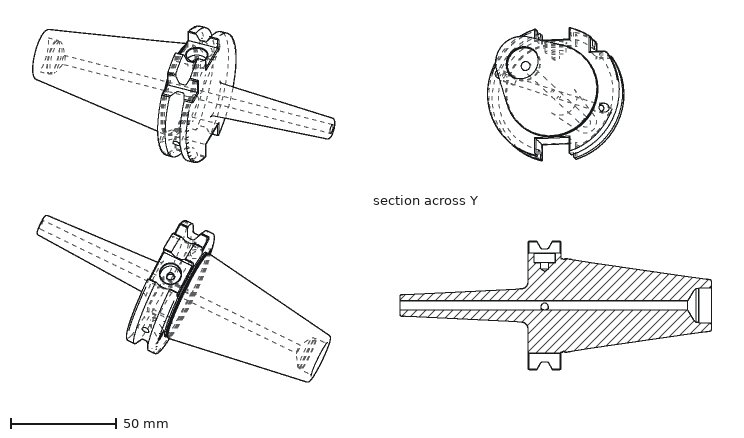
import cadquery as cq
import math


drill_half_angle = math.radians(59)
eighth_turn = math.radians(45)

gauge_radius = 44.45 / 2
taper_length = 68.4
taper_slope = 7 / 48
shank_end_radius = gauge_radius - taper_length * taper_slope
shank_end_round = 1.2

neck_start = 0.5
neck_groove_start = 1.4
neck_groove_end = 2.5
neck_groove_depth = 0.35

flange_start = 3.2
flange_end = 19.1
flange_radius = 63.55 / 2
flange_round = 1.0
vee_centre = 11.1
vee_opening = 7.5
vee_depth = 3.65
vee_half_angle = math.radians(30)
vee_floor_round = 1.0

slot_width = 16.1
upper_slot_height = 25.0
lower_slot_height = 22.8
notch_offset = 18.5
slot_chamfer = 0.5

chip_diameter = 10.0
chip_chamfer = 0.3
chip_depth = 4.6
chip_pilot_diameter = 3.6
chip_pilot_depth = 3.0

nose_end = 80.0
nose_tip_radius = 5.15
nose_root_radius = 8.0
nose_root_fillet = 3.0
nose_tip_round = 1.0

rear_bore_radius = 8.3
rear_bore_depth = 6.0
mouth_round = 1.1
step_radius = 8.0
step_length = 1.2
cone_mouth_radius = 7.1
through_radius = 2.15

coolant_diameter = 4.2
coolant_pitch_radius = 26.9
coolant_angle = 20.0
coolant_slant = math.radians(34)
coolant_cross_diameter = 3.5


def revolve_about_axis(profile):
    """Revolve a closed (X, radius) wire around the X axis."""
    return profile.close().revolve(360, (0, 0, 0), (1, 0, 0))


def make_shank():
    neck_radius = gauge_radius + neck_start * taper_slope
    profile = (
        cq.Workplane("XY")
        .moveTo(-taper_length, 0)
        .lineTo(-taper_length, shank_end_radius)
        .lineTo(neck_start, neck_radius)
        .lineTo(neck_groove_start, neck_radius)
        .lineTo(neck_groove_start + neck_groove_depth, neck_radius - neck_groove_depth)
        .lineTo(neck_groove_end - neck_groove_depth, neck_radius - neck_groove_depth)
        .lineTo(neck_groove_end, neck_radius)
        .lineTo(flange_start, neck_radius)
        .lineTo(flange_start, 0)
    )
    return revolve_about_axis(profile).faces("<X").edges().fillet(shank_end_round)


def make_vee_ring():
    """Ring of material removed by the 60 degree gripper groove."""
    floor_radius = flange_radius - vee_depth
    half_floor = vee_opening / 2 - vee_depth * math.tan(vee_half_angle)
    overshoot = 1.0
    half_top = vee_opening / 2 + overshoot * math.tan(vee_half_angle)
    top_radius = flange_radius + overshoot
    profile = (
        cq.Workplane("XY")
        .moveTo(vee_centre - half_top, top_radius)
        .lineTo(vee_centre - half_floor, floor_radius)
        .lineTo(vee_centre + half_floor, floor_radius)
        .lineTo(vee_centre + half_top, top_radius)
    )
    ring = revolve_about_axis(profile)
    margin = 0.1
    reach_x = half_floor + margin
    reach_yz = floor_radius + margin
    floor_edges = cq.selectors.BoxSelector(
        (vee_centre - reach_x, -reach_yz, -reach_yz),
        (vee_centre + reach_x, reach_yz, reach_yz),
        boundingbox=True,
    )
    return ring.edges(floor_edges).fillet(vee_floor_round)


def make_flange():
    width = flange_end - flange_start
    disc = cq.Workplane("YZ", origin=(flange_start, 0, 0)).circle(flange_radius).extrude(width)
    disc = disc.edges().fillet(flange_round)
    return disc.cut(make_vee_ring())


def flange_block(y_min, y_max, z_min, z_max):
    """Cutter for a slot: a box as wide as the flange, flared at both flange faces."""
    width = flange_end - flange_start
    block = (
        cq.Workplane("XY")
        .box(width, y_max - y_min, z_max - z_min, centered=False)
        .translate((flange_start, y_min, z_min))
    )
    flare_size = (y_max - y_min + 2 * slot_chamfer, z_max - z_min + 2 * slot_chamfer)
    middle = ((y_min + y_max) / 2, (z_min + z_max) / 2)
    for face_x, inward in ((flange_start, 1), (flange_end, -1)):
        flare = (
            cq.Workplane("YZ", origin=(face_x, *middle))
            .rect(*flare_size)
            .workplane(offset=inward * slot_chamfer)
            .rect(y_max - y_min, z_max - z_min)
            .loft(ruled=True)
        )
        block = block.union(flare)
    return block


def rim_bevel(y, z):
    """Square bar along X, set on its corner, that bevels the rim edge at (y, z)."""
    side = slot_chamfer * math.sqrt(2)
    bar = cq.Workplane("XY").box(flange_end - flange_start, side, side)
    bar = bar.rotate((0, 0, 0), (1, 0, 0), math.degrees(eighth_turn))
    return bar.translate(((flange_start + flange_end) / 2, y, z))


def cut_slots(flange):
    half = slot_width / 2
    outside = flange_radius + slot_chamfer
    flange = flange.cut(flange_block(-half, half, upper_slot_height, outside))
    flange = flange.cut(flange_block(-half, half, -outside, -lower_slot_height))
    flange = flange.cut(flange_block(-outside, -notch_offset, notch_offset, outside))

    slot_rim = math.sqrt(flange_radius**2 - half**2)
    notch_rim = math.sqrt(flange_radius**2 - notch_offset**2)
    rim_edges = [(y, z) for y in (-half, half) for z in (-slot_rim, slot_rim)]
    rim_edges += [(-notch_offset, notch_rim), (-notch_rim, notch_offset)]
    for y, z in rim_edges:
        flange = flange.cut(rim_bevel(y, z))
    return flange


def make_nose():
    root_end = flange_end + nose_root_fillet
    arc_mid = (
        root_end - nose_root_fillet * math.sin(eighth_turn),
        nose_root_radius + nose_root_fillet * (1 - math.cos(eighth_turn)),
    )
    profile = (
        cq.Workplane("XY")
        .moveTo(flange_end, 0)
        .lineTo(flange_end, nose_root_radius + nose_root_fillet)
        .threePointArc(arc_mid, (root_end, nose_root_radius))
        .lineTo(nose_end, nose_tip_radius)
        .lineTo(nose_end, 0)
    )
    return revolve_about_axis(profile).faces(">X").edges().fillet(nose_tip_round)


def make_bore():
    """Stepped rear bore with a rounded mouth and a drilled cone, continued by the through hole."""
    mouth = -taper_length
    round_mid = (
        mouth + mouth_round * (1 - math.sin(eighth_turn)),
        rear_bore_radius + mouth_round * (1 - math.cos(eighth_turn)),
    )
    step_start = mouth + rear_bore_depth + rear_bore_radius - step_radius
    step_end = step_start + step_length
    cone_start = step_end + step_radius - cone_mouth_radius
    cone_length = (cone_mouth_radius - through_radius) / math.tan(drill_half_angle)
    profile = (
        cq.Workplane("XY")
        .moveTo(mouth, 0)
        .lineTo(mouth, rear_bore_radius + mouth_round)
        .threePointArc(round_mid, (mouth + mouth_round, rear_bore_radius))
        .lineTo(mouth + rear_bore_depth, rear_bore_radius)
        .lineTo(step_start, step_radius)
        .lineTo(step_end, step_radius)
        .lineTo(cone_start, cone_mouth_radius)
        .lineTo(cone_start + cone_length, through_radius)
        .lineTo(nose_end, through_radius)
        .lineTo(nose_end, 0)
    )
    return revolve_about_axis(profile)


def make_chip_pocket():
    pocket_floor = upper_slot_height - chip_depth
    pilot_floor = pocket_floor - chip_pilot_depth
    pilot_radius = chip_pilot_diameter / 2
    cone_depth = pilot_radius / math.tan(drill_half_angle)
    profile = (
        cq.Workplane("XZ", origin=(vee_centre, 0, 0))
        .moveTo(0, upper_slot_height)
        .lineTo(chip_diameter / 2 + chip_chamfer, upper_slot_height)
        .lineTo(chip_diameter / 2, upper_slot_height - chip_chamfer)
        .lineTo(chip_diameter / 2, pocket_floor)
        .lineTo(pilot_radius, pocket_floor)
        .lineTo(pilot_radius, pilot_floor)
        .lineTo(0, pilot_floor - cone_depth)
        .close()
    )
    return profile.revolve(360, (0, 0, 0), (0, 1, 0))


def drill(start, end, diameter):
    """Cylinder of the given diameter between two points."""
    axis = cq.Vector(*end) - cq.Vector(*start)
    return cq.Workplane(cq.Solid.makeCylinder(diameter / 2, axis.Length, cq.Vector(*start), axis))


def make_coolant_channel():
    """Slanted inlet from the rear flange face meeting a radial cross hole, on the +Y side."""
    inlet_overshoot = 3.0
    lean = math.tan(coolant_slant)
    inlet_start = (
        flange_start - inlet_overshoot,
        coolant_pitch_radius + inlet_overshoot * lean,
        0,
    )
    inlet_end = (vee_centre, coolant_pitch_radius - (vee_centre - flange_start) * lean, 0)
    inlet = drill(inlet_start, inlet_end, coolant_diameter)
    cross = drill((vee_centre, 0, 0), (vee_centre, flange_radius, 0), coolant_cross_diameter)
    return inlet.union(cross)


def build_holder():
    holder = make_shank().union(cut_slots(make_flange())).union(make_nose())
    holder = holder.cut(make_bore()).cut(make_chip_pocket())
    channel = make_coolant_channel()
    for side in (0, 180):
        holder = holder.cut(channel.rotate((0, 0, 0), (1, 0, 0), coolant_angle + side))
    return holder


result = build_holder()